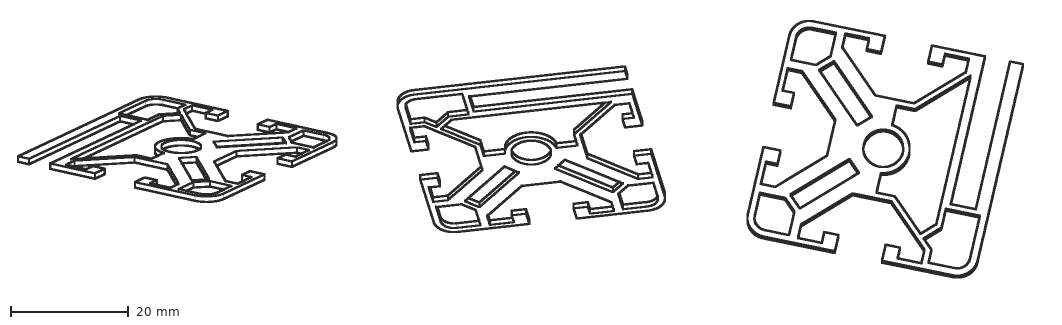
import cadquery as cq
import math

SIDE = 40.0
THICKNESS = 1.0
HALF = SIDE / 2
OUTER_RADIUS = 3.5
WEB = 1.0
DIAGONAL_WEB = WEB * math.sqrt(2)

MOUTH_HALF = 4.1
LIP_WIDTH = 2.5
LIP_DEPTH = 3.0
SLOT_HALF = 10.75
SLOT_FLOOR = 9.1
SLOT_DIAGONAL = 5.73

BORE_RADIUS = 3.4
RING_RADIUS = 4.5

WINDOW_START = 5.9
WINDOW_LENGTH = 11.95
WINDOW_WIDTH = 3.0

POCKET_NEAR = 12.35
POCKET_WALL = 1.2
POCKET_BEVEL = 2.05

LARGE_POCKET_WALL = 1.35
LARGE_POCKET_BOTTOM = 8.45
LARGE_POCKET_RIGHT = -11.9
BRACE_OFFSET = 24.7

CHANNEL_LEFT = -17.7
CHANNEL_RIGHT = -13.35
CAVITY_LEFT = -11.72
CAVITY_RIGHT = -0.55
CAVITY_HALF_HEIGHT = SLOT_FLOOR - WEB
CAVITY_DIAGONAL = SLOT_DIAGONAL - DIAGONAL_WEB


def prism(points):
    """Full-thickness prism over a closed polygon."""
    return cq.Workplane("XY").polyline(points).close().extrude(THICKNESS)


def cylinder(radius):
    return cq.Workplane("XY").circle(radius).extrude(THICKNESS)


def corner_edges(x, y):
    """Selector for the vertical edge nearest to the point (x, y)."""
    return cq.selectors.NearestToPointSelector((x, y, THICKNESS / 2))


def body():
    plate = cq.Workplane("XY").rect(SIDE, SIDE).extrude(THICKNESS)
    for x, y in [(-HALF, HALF), (HALF, HALF), (HALF, -HALF)]:
        plate = plate.edges("|Z").edges(corner_edges(x, y)).fillet(OUTER_RADIUS)
    return plate


def t_slot(angle):
    """T-slot opening toward +Y, turned about the Z axis by the angle."""
    lip_outer = MOUTH_HALF + LIP_WIDTH
    lip_bottom = HALF - LIP_DEPTH
    ceiling = HALF - WEB
    right_side = [
        (MOUTH_HALF, HALF),
        (MOUTH_HALF, lip_bottom),
        (lip_outer, lip_bottom),
        (lip_outer, ceiling),
        (SLOT_HALF, ceiling),
        (SLOT_HALF, SLOT_HALF + SLOT_DIAGONAL),
        (SLOT_FLOOR - SLOT_DIAGONAL, SLOT_FLOOR),
    ]
    left_side = [(-x, y) for x, y in reversed(right_side)]
    return prism(right_side + left_side).rotate((0, 0, 0), (0, 0, 1), angle)


def arm_window(angle):
    window = cq.Workplane("XY").center(WINDOW_START + WINDOW_LENGTH / 2, 0)
    window = window.rect(WINDOW_LENGTH, WINDOW_WIDTH).extrude(THICKNESS)
    return window.rotate((0, 0, 0), (0, 0, 1), angle)


def corner_pocket():
    """Pocket in the +X +Y corner: rounded outside, bevelled toward the arm."""
    far = HALF - POCKET_WALL
    bevel_end = POCKET_NEAR + POCKET_BEVEL
    pocket = prism([
        (POCKET_NEAR, bevel_end),
        (bevel_end, POCKET_NEAR),
        (far, POCKET_NEAR),
        (far, far),
        (POCKET_NEAR, far),
    ])
    return pocket.edges("|Z").edges(corner_edges(far, far)).fillet(OUTER_RADIUS - POCKET_WALL)


def large_pocket():
    """Pocket in the -X +Y corner, pointed where the brace meets the slot web."""
    far = HALF - LARGE_POCKET_WALL
    lower_right = CAVITY_LEFT - WEB
    tip_x = (CAVITY_DIAGONAL - BRACE_OFFSET) / 2
    pocket = prism([
        (-far, far),
        (LARGE_POCKET_RIGHT, far),
        (LARGE_POCKET_RIGHT, CAVITY_DIAGONAL - LARGE_POCKET_RIGHT),
        (tip_x, CAVITY_DIAGONAL - tip_x),
        (lower_right, BRACE_OFFSET + lower_right),
        (lower_right, LARGE_POCKET_BOTTOM),
        (-far, LARGE_POCKET_BOTTOM),
    ])
    fillet_radius = OUTER_RADIUS - LARGE_POCKET_WALL
    return pocket.edges("|Z").edges(corner_edges(-far, far)).fillet(fillet_radius)


def channel():
    """Channel open at the -Y side, closed by a web below the large pocket."""
    top = LARGE_POCKET_BOTTOM - WEB
    return prism([
        (CHANNEL_LEFT, -HALF),
        (CHANNEL_RIGHT, -HALF),
        (CHANNEL_RIGHT, top),
        (CHANNEL_LEFT, top),
    ])


def side_cavity():
    """Cavity between the bore ring and the inner wall of the channel."""
    brace_offset = BRACE_OFFSET - DIAGONAL_WEB
    tip_x = (CAVITY_DIAGONAL - brace_offset) / 2
    bend_x = CAVITY_DIAGONAL - CAVITY_HALF_HEIGHT
    cavity = prism([
        (CAVITY_RIGHT, CAVITY_HALF_HEIGHT),
        (bend_x, CAVITY_HALF_HEIGHT),
        (tip_x, CAVITY_DIAGONAL - tip_x),
        (CAVITY_LEFT, brace_offset + CAVITY_LEFT),
        (CAVITY_LEFT, CAVITY_LEFT - CAVITY_DIAGONAL),
        (bend_x, -CAVITY_HALF_HEIGHT),
        (CAVITY_RIGHT, -CAVITY_HALF_HEIGHT),
    ])
    return cavity.cut(cylinder(RING_RADIUS))


result = body()
for slot_angle in (-90, 0, 180):
    result = result.cut(t_slot(slot_angle))
for arm_angle in (-45, 45):
    result = result.cut(arm_window(arm_angle))
result = result.cut(corner_pocket())
result = result.cut(corner_pocket().mirror("XZ"))
result = result.cut(large_pocket())
result = result.cut(channel())
result = result.cut(side_cavity())
result = result.cut(cylinder(BORE_RADIUS))